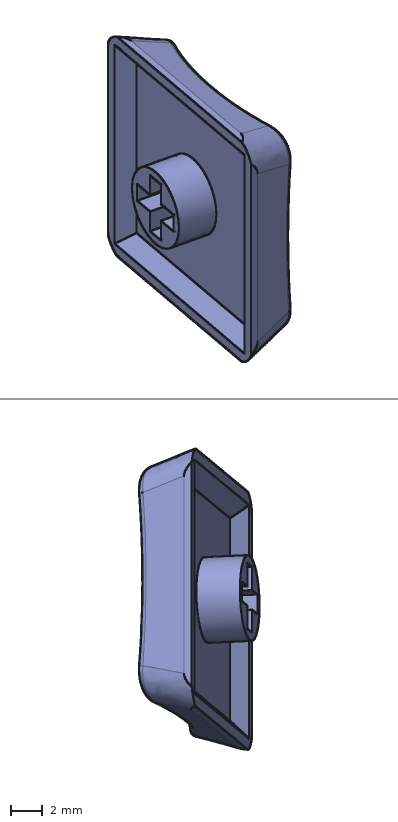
import cadquery as cq
import math

cap_size = 16.5
skirt_height = 0.5
wall_taper = 15.5
corner_radius = 2.0
blank_height = 6.6
edge_radius = 0.5

dish_centre_height = 2.05
dish_radius_x = 17.65
dish_radius_z = 64.35
dish_half_width = 9.9

cavity_opening = 14.95
cavity_floor = 12.97
cavity_depth = 1.0

stem_diameter = 5.4
stem_projection = 1.8
cross_length = 4.2
cross_width = 1.25
cross_depth = stem_projection + cavity_depth


def square_frustum(start_size, end_size, height):
    """Square frustum rising along +Y from the rim plane."""
    return (
        cq.Workplane("XZ")
        .rect(start_size, start_size)
        .workplane(offset=-height)
        .rect(end_size, end_size)
        .loft(ruled=True)
    )


def dish_cutter():
    """Arc across X, revolved about an axis parallel to X high above the cap."""
    arc_rise = dish_radius_x - math.sqrt(dish_radius_x**2 - dish_half_width**2)
    arc_end_height = dish_centre_height + arc_rise
    axis_height = dish_centre_height + dish_radius_z
    return (
        cq.Workplane("XY")
        .moveTo(-dish_half_width, arc_end_height)
        .threePointArc((0, dish_centre_height), (dish_half_width, arc_end_height))
        .lineTo(dish_half_width, axis_height)
        .lineTo(-dish_half_width, axis_height)
        .close()
        .revolve(360, (0, axis_height), (1, axis_height))
    )


def cap_body():
    """Tapered cap with rounded corners, trimmed straight at the skirt and dished."""
    taper_slope = math.tan(math.radians(wall_taper))
    base_size = cap_size + 2 * skirt_height * taper_slope
    blank_top_size = base_size - 2 * blank_height * taper_slope
    tapered = square_frustum(base_size, blank_top_size, blank_height)
    tapered = tapered.edges("not(|X or |Z)").fillet(corner_radius)
    skirt_envelope = square_frustum(cap_size, cap_size, blank_height)
    dished = tapered.cut(dish_cutter())
    dish_face = dished.faces(cq.selectors.TypeSelector("TORUS"))
    return dish_face.edges().fillet(edge_radius).intersect(skirt_envelope)


def stem():
    """Round stem reaching from the cavity floor to beyond the rim."""
    length = stem_projection + cavity_depth
    return cq.Workplane("XZ", origin=(0, cavity_depth, 0)).circle(stem_diameter / 2).extrude(length)


def cross_socket():
    """Cross-shaped recess sunk from the free end of the stem."""
    end_plane = cq.Workplane("XZ", origin=(0, -stem_projection, 0))
    across = end_plane.rect(cross_length, cross_width).extrude(-cross_depth)
    upright = end_plane.rect(cross_width, cross_length).extrude(-cross_depth)
    return across.union(upright)


cavity = square_frustum(cavity_opening, cavity_floor, cavity_depth)
result = cap_body().cut(cavity).union(stem()).cut(cross_socket())